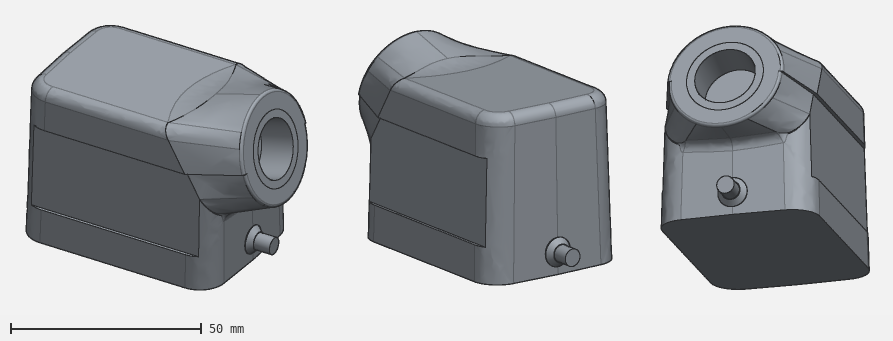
import cadquery as cq
import math

BASE_HALF_LENGTH = 30.1
BACK_TOP_HALF_LENGTH = 29.0
FRONT_TOP_HALF_LENGTH = 29.45
BASE_HALF_WIDTH = 21.5
TOP_HALF_WIDTH = 20.3
HOOD_HEIGHT = 45.95
CORNER_RADIUS = 7.5
END_SLANT = math.radians(1.5)
TOP_FILLET = 3.25

RECESS_BOTTOM = 10.0
RECESS_TOP = 34.1
RECESS_BOTTOM_HALF_WIDTH = 20.35
RECESS_TOP_HALF_WIDTH = 19.6

PEG_HEIGHT = 6.2
PEG_DIAMETER = 4.8
PEG_ROOT = 28.15
PEG_TIP = 36.5
PEG_COLLAR_END = 31.6
COLLAR_BASE_DIAMETER = 8.0
COLLAR_TIP_DIAMETER = 5.1

SEAM_TOP_X = 14.4
SEAM_FOOT_Z = 20.2
ENTRY_CENTER_X = 36.9
ENTRY_CENTER_Z = 36.0
ENTRY_TILT = 14.5
ENTRY_UPPER_RADIUS = 15.9
ENTRY_LOWER_RADIUS = 15.4
ENTRY_RIM_FILLET = 0.8
HALVING_STEPS = 50
TOP_SEAM_FILLET = 30.85
SEAM_MARGIN = 0.8
BLEND_DEPTH = 0.8
BLEND_STEPS = 4
FOOT_SEAM_FILLET = 2.7
TOP_ANGLE = 42.0
SHOULDER_ANGLE = 25.8
LOWER_SIDE_ANGLE = -30.0
FOOT_ANGLE = -62.6

RING_OUTER_DIAMETER = 21.0
RING_BORE_DIAMETER = 16.5
RING_LENGTH = 10.0


def between(start, end, fraction):
    return start + (end - start) * fraction


def back_length(z):
    """Distance of the -X end from the middle at height z."""
    return between(BASE_HALF_LENGTH, BACK_TOP_HALF_LENGTH, z / HOOD_HEIGHT)


def front_length(z):
    """Distance of the +X end, which carries the cable entry, from the middle at height z."""
    return between(BASE_HALF_LENGTH, FRONT_TOP_HALF_LENGTH, z / HOOD_HEIGHT)


def half_width(z):
    return between(BASE_HALF_WIDTH, TOP_HALF_WIDTH, z / HOOD_HEIGHT)


def recess_half_width(z):
    fraction = (z - RECESS_BOTTOM) / (RECESS_TOP - RECESS_BOTTOM)
    return between(RECESS_BOTTOM_HALF_WIDTH, RECESS_TOP_HALF_WIDTH, fraction)


def corner_center(z, length):
    """Centre (x, y) of a corner arc at height z, on an end at the given distance from the middle."""
    y = half_width(z) - CORNER_RADIUS
    slant_run = y + CORNER_RADIUS * math.sin(END_SLANT)
    x = length - slant_run * math.tan(END_SLANT) - CORNER_RADIUS * math.cos(END_SLANT)
    return x, y


def corner_point(z, length, angle):
    x, y = corner_center(z, length)
    return x + CORNER_RADIUS * math.cos(angle), y + CORNER_RADIUS * math.sin(angle)


def hood_outline(z):
    """Closed outline of the hood at height z."""
    front = front_length(z)
    back = back_length(z)
    middle_angle = (END_SLANT + math.pi / 2) / 2
    front_corner = [corner_point(z, front, a) for a in (END_SLANT, middle_angle, math.pi / 2)]
    back_corner = [corner_point(z, back, a) for a in (END_SLANT, middle_angle, math.pi / 2)]
    (fx1, fy1), (fx2, fy2), (fx3, fy3) = front_corner
    (bx1, by1), (bx2, by2), (bx3, by3) = back_corner
    return (
        cq.Workplane("XY", origin=(0, 0, z))
        .moveTo(front, 0)
        .lineTo(fx1, fy1)
        .threePointArc((fx2, fy2), (fx3, fy3))
        .lineTo(-bx3, by3)
        .threePointArc((-bx2, by2), (-bx1, by1))
        .lineTo(-back, 0)
        .lineTo(-bx1, -by1)
        .threePointArc((-bx2, -by2), (-bx3, -by3))
        .lineTo(fx3, -fy3)
        .threePointArc((fx2, -fy2), (fx1, -fy1))
        .close()
        .val()
    )


def hood_block():
    block = cq.Solid.makeLoft([hood_outline(0), hood_outline(HOOD_HEIGHT)], True)
    return cq.Workplane(block).faces(">Z").edges().fillet(TOP_FILLET)


def side_recess(side):
    """Slab cut away from one long side (side is 1 or -1)."""
    outside = 2 * BASE_HALF_WIDTH
    return (
        cq.Workplane("YZ")
        .moveTo(side * RECESS_BOTTOM_HALF_WIDTH, RECESS_BOTTOM)
        .lineTo(side * outside, RECESS_BOTTOM)
        .lineTo(side * outside, RECESS_TOP)
        .lineTo(side * RECESS_TOP_HALF_WIDTH, RECESS_TOP)
        .close()
        .extrude(2 * BASE_HALF_LENGTH, both=True)
    )


SEAM_FOOT_X = front_length(SEAM_FOOT_Z)


def seam_x(z):
    return between(SEAM_FOOT_X, SEAM_TOP_X, (z - SEAM_FOOT_Z) / (HOOD_HEIGHT - SEAM_FOOT_Z))


def beyond_seam():
    """Everything of the block on the entry side of the seam plane."""
    far = 2 * BASE_HALF_LENGTH
    return (
        cq.Workplane("XZ")
        .moveTo(SEAM_TOP_X, HOOD_HEIGHT)
        .lineTo(far, HOOD_HEIGHT)
        .lineTo(far, SEAM_FOOT_Z)
        .lineTo(SEAM_FOOT_X, SEAM_FOOT_Z)
        .close()
        .extrude(BASE_HALF_LENGTH, both=True)
    )


def symmetric_wire(points, arc_middles):
    """Closed wire through points given for +Y and mirrored to -Y.

    arc_middles maps the index of a segment's first point to the middle point of its arc.
    """
    def mirror(point):
        return cq.Vector(point.x, -point.y, point.z)

    def segment(start, middle, end):
        if middle is None:
            return cq.Edge.makeLine(start, end)
        return cq.Edge.makeThreePointArc(start, middle, end)

    edges = []
    for i in range(len(points) - 1):
        edges.append(segment(points[i], arc_middles.get(i), points[i + 1]))
    for i in reversed(range(len(points) - 1)):
        middle = arc_middles.get(i)
        mirrored_middle = mirror(middle) if middle is not None else None
        edges.append(segment(mirror(points[i + 1]), mirrored_middle, mirror(points[i])))
    return cq.Wire.assembleEdges(edges)


def on_seam(y, z):
    return cq.Vector(seam_x(z), y, z)


def corner_y(z):
    """Half width where the seam plane crosses the rounded corner at height z."""
    x, y = corner_center(z, front_length(z))
    run = seam_x(z) - x
    return y + math.sqrt(CORNER_RADIUS ** 2 - run ** 2)


def turning_height(is_below, low, high):
    """Height between low and high where is_below changes from true to false, found by halving."""
    for _ in range(HALVING_STEPS):
        middle = (low + high) / 2
        if is_below(middle):
            low = middle
        else:
            high = middle
    return low


def seam_is_on_corner(z):
    """True where the rounded corner lies inside the recess plane along the seam."""
    on_arc = seam_x(z) > corner_center(z, front_length(z))[0]
    return on_arc and corner_y(z) < recess_half_width(z)


def seam_is_on_end_wall(z):
    """True where the seam crosses the flat end wall below the rounded corner."""
    return seam_x(z) > corner_point(z, front_length(z), END_SLANT)[0]


def seam_wire():
    shoulder_z = HOOD_HEIGHT - TOP_FILLET
    diagonal = TOP_FILLET * math.sqrt(0.5)
    foot_end = turning_height(seam_is_on_end_wall, SEAM_FOOT_Z, RECESS_TOP)
    recess_end = turning_height(seam_is_on_corner, foot_end, RECESS_TOP)
    corner_middle = (recess_end + foot_end) / 2
    shoulder_width = half_width(shoulder_z)
    points = [
        on_seam(0, HOOD_HEIGHT),
        on_seam(shoulder_width - TOP_FILLET, HOOD_HEIGHT),
        on_seam(shoulder_width, shoulder_z),
        on_seam(half_width(RECESS_TOP), RECESS_TOP),
        on_seam(recess_half_width(RECESS_TOP), RECESS_TOP),
        on_seam(recess_half_width(recess_end), recess_end),
        on_seam(corner_point(foot_end, front_length(foot_end), END_SLANT)[1], foot_end),
        on_seam(0, SEAM_FOOT_Z),
    ]
    arc_middles = {
        1: on_seam(shoulder_width - TOP_FILLET + diagonal, shoulder_z + diagonal),
        5: on_seam(corner_y(corner_middle), corner_middle),
    }
    return symmetric_wire(points, arc_middles)


ENTRY_PLANE = cq.Plane(
    origin=(ENTRY_CENTER_X, 0, ENTRY_CENTER_Z),
    xDir=(0, 1, 0),
    normal=(math.cos(math.radians(ENTRY_TILT)), 0, math.sin(math.radians(ENTRY_TILT))),
)
ENTRY_ROOT_PLANE = cq.Plane(
    origin=ENTRY_PLANE.origin - ENTRY_PLANE.zDir * ENTRY_RIM_FILLET,
    xDir=ENTRY_PLANE.xDir,
    normal=ENTRY_PLANE.zDir,
)


def on_entry(radius, angle):
    """Point on the circle where the rim begins, at an angle in degrees."""
    turn = math.radians(angle)
    return ENTRY_ROOT_PLANE.toWorldCoords((radius * math.cos(turn), radius * math.sin(turn)))


def entry_wire():
    upper_angles = [90, TOP_ANGLE, SHOULDER_ANGLE, 0]
    lower_angles = [0, LOWER_SIDE_ANGLE, FOOT_ANGLE, -90]
    points = [on_entry(ENTRY_UPPER_RADIUS, a) for a in upper_angles]
    points += [on_entry(ENTRY_LOWER_RADIUS, a) for a in lower_angles]
    arc_middles = {}
    arc_count = len(upper_angles) - 1
    for i in range(arc_count):
        upper_middle = (upper_angles[i] + upper_angles[i + 1]) / 2
        lower_middle = (lower_angles[i] + lower_angles[i + 1]) / 2
        arc_middles[i] = on_entry(ENTRY_UPPER_RADIUS, upper_middle)
        arc_middles[i + len(upper_angles)] = on_entry(ENTRY_LOWER_RADIUS, lower_middle)
    return symmetric_wire(points, arc_middles)


def cable_entry():
    """Ruled solid from the rounded seam outline to the round end."""
    return cq.Workplane(cq.Solid.makeLoft([seam_wire(), entry_wire()], True))


def entry_rim(radius, side):
    """Half disc with a rounded edge (side is 1 for the upper half, -1 for the lower)."""
    flat_radius = radius - ENTRY_RIM_FILLET
    diagonal = ENTRY_RIM_FILLET * math.sqrt(0.5)
    profile_plane = cq.Plane(
        origin=ENTRY_ROOT_PLANE.origin,
        xDir=ENTRY_PLANE.xDir * side,
        normal=ENTRY_PLANE.yDir * -side,
    )
    return (
        cq.Workplane(profile_plane)
        .lineTo(radius, 0)
        .threePointArc((flat_radius + diagonal, diagonal), (flat_radius, ENTRY_RIM_FILLET))
        .lineTo(0, ENTRY_RIM_FILLET)
        .close()
        .revolve(180, (0, 0), (0, 1))
    )


def blend_section(fraction):
    """Section of the top blend; fraction runs from -1 to 1 across the flat of the seam."""
    seam_y = fraction * (half_width(HOOD_HEIGHT - TOP_FILLET) - TOP_FILLET)
    corner = cq.Vector(SEAM_TOP_X, seam_y, HOOD_HEIGHT)
    rise = on_entry(ENTRY_UPPER_RADIUS, 90 - fraction * (90 - TOP_ANGLE)) - corner
    level = cq.Vector(rise.x, rise.y, 0).normalized()
    slope = math.atan2(rise.z, math.hypot(rise.x, rise.y))
    reach = TOP_SEAM_FILLET * math.tan(slope / 2)
    start = corner - level * reach
    end = corner + rise.normalized() * reach
    middle = (
        start
        + level * (TOP_SEAM_FILLET * math.sin(slope / 2))
        + cq.Vector(0, 0, TOP_SEAM_FILLET * (1 - math.cos(slope / 2)))
    )
    root = corner - cq.Vector(0, 0, BLEND_DEPTH)
    return cq.Wire.assembleEdges([
        cq.Edge.makeThreePointArc(start, middle, end),
        cq.Edge.makeLine(end, root),
        cq.Edge.makeLine(root, start),
    ])


def top_blend():
    """Smooth lens-shaped transition from the hood top into the rising entry."""
    sections = [
        blend_section(i / BLEND_STEPS) for i in range(-BLEND_STEPS, BLEND_STEPS + 1)
    ]
    return cq.Workplane(cq.Solid.makeLoft(sections))


def locking_peg(side):
    """Peg with its conical collar on one end (side is 1 or -1)."""
    profile = (
        cq.Workplane("XZ", origin=(0, 0, PEG_HEIGHT))
        .moveTo(side * PEG_ROOT, 0)
        .lineTo(side * PEG_ROOT, COLLAR_BASE_DIAMETER / 2)
        .lineTo(side * BASE_HALF_LENGTH, COLLAR_BASE_DIAMETER / 2)
        .lineTo(side * PEG_COLLAR_END, COLLAR_TIP_DIAMETER / 2)
        .lineTo(side * PEG_COLLAR_END, PEG_DIAMETER / 2)
        .lineTo(side * PEG_TIP, PEG_DIAMETER / 2)
        .lineTo(side * PEG_TIP, 0)
        .close()
    )
    return profile.revolve(360, (0, 0), (1, 0))


def ring_seat():
    """Blind round hole that the ring fills from end to end."""
    return cq.Workplane(ENTRY_PLANE).circle(RING_OUTER_DIAMETER / 2).extrude(-RING_LENGTH)


def foot_seam():
    """Selects the edges where the underside of the entry meets the end wall."""
    near = (SEAM_FOOT_X - SEAM_MARGIN, -BASE_HALF_WIDTH, SEAM_FOOT_Z - SEAM_MARGIN)
    far = (SEAM_FOOT_X + SEAM_MARGIN, BASE_HALF_WIDTH, SEAM_FOOT_Z + SEAM_MARGIN)
    return cq.selectors.BoxSelector(near, far)


def make_hood():
    hood = hood_block()
    for side in (1, -1):
        hood = hood.cut(side_recess(side))
    hood = hood.cut(beyond_seam()).union(cable_entry())
    hood = hood.edges(foot_seam()).fillet(FOOT_SEAM_FILLET)
    hood = hood.union(entry_rim(ENTRY_UPPER_RADIUS, 1)).union(entry_rim(ENTRY_LOWER_RADIUS, -1))
    hood = hood.union(top_blend())
    for side in (1, -1):
        hood = hood.union(locking_peg(side))
    return hood.cut(ring_seat())


def make_ring():
    return (
        cq.Workplane(ENTRY_PLANE)
        .circle(RING_OUTER_DIAMETER / 2)
        .circle(RING_BORE_DIAMETER / 2)
        .extrude(-RING_LENGTH)
    )


hood = make_hood()
ring = make_ring()
result = cq.Compound.makeCompound([hood.val(), ring.val()])